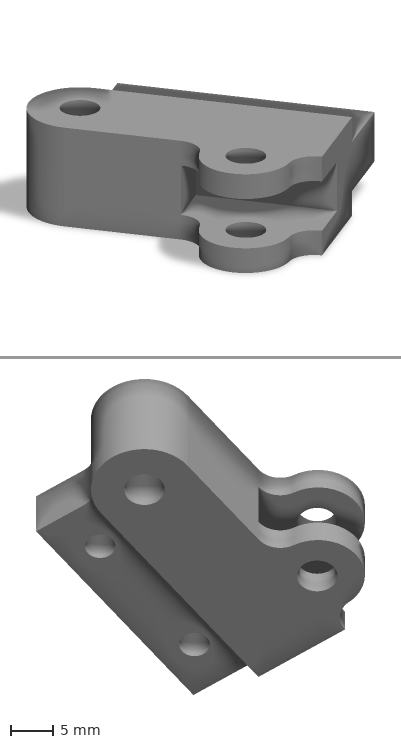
import cadquery as cq
import math

length = 38.1
height = 12.7
body_width = 12.7
end_radius = body_width / 2
right_x = length - end_radius
pin_hole_diameter = 4.85

flange_depth = 9.52
flange_thickness = height / 2
flange_hole_diameter = 3.65
flange_hole_inset = flange_depth / 2
flange_hole_first_x = 6.35
flange_hole_spacing = 19.05
flange_back_y = end_radius + flange_depth

ear_x = 23.0
ear_y = -8.72
ear_radius = 5.55
ear_hole_y = -8.6
ear_gap = height / 2
slot_back_y = 0

blend_radius = 3.15
ear_blend_y = -end_radius - blend_radius


def centered_plate(outline, thickness):
    """Extrude a closed outline symmetrically about mid-height."""
    return outline.extrude(thickness / 2, both=True)


def make_body():
    outline = (
        cq.Workplane("XY")
        .moveTo(0, end_radius)
        .threePointArc((-end_radius, 0), (0, -end_radius))
        .lineTo(right_x, -end_radius)
        .lineTo(right_x, end_radius)
        .close()
    )
    return centered_plate(outline, height)


def make_flange():
    blend_y = math.sqrt((end_radius + blend_radius) ** 2 - blend_radius**2)
    share = end_radius / (end_radius + blend_radius)
    contact = (-blend_radius * share, blend_y * share)
    angle = math.atan2(contact[1] - blend_y, contact[0] + blend_radius) / 2
    middle = (
        -blend_radius + blend_radius * math.cos(angle),
        blend_y + blend_radius * math.sin(angle),
    )
    outline = (
        cq.Workplane("XY")
        .lineTo(right_x, 0)
        .lineTo(right_x, flange_back_y)
        .lineTo(0, flange_back_y)
        .lineTo(0, blend_y)
        .threePointArc(middle, contact)
        .close()
    )
    return centered_plate(outline, flange_thickness)


def ear_blend_offset():
    """Distance in X from the ear axis to the center of either ear blend."""
    return math.sqrt((ear_radius + blend_radius) ** 2 - (ear_y - ear_blend_y) ** 2)


def make_ears():
    blend_dx = ear_blend_offset()
    share = ear_radius / (ear_radius + blend_radius)
    contact_dx = blend_dx * share
    contact_y = ear_y + (ear_blend_y - ear_y) * share
    angle = (math.atan2(contact_y - ear_blend_y, blend_dx - contact_dx) + math.pi / 2) / 2
    middle_dx = blend_dx - blend_radius * math.cos(angle)
    middle_y = ear_blend_y + blend_radius * math.sin(angle)
    outline = (
        cq.Workplane("XY")
        .moveTo(ear_x - blend_dx, 0)
        .lineTo(ear_x - blend_dx, -end_radius)
        .threePointArc((ear_x - middle_dx, middle_y), (ear_x - contact_dx, contact_y))
        .threePointArc((ear_x, ear_y - ear_radius), (ear_x + contact_dx, contact_y))
        .threePointArc((ear_x + middle_dx, middle_y), (ear_x + blend_dx, -end_radius))
        .lineTo(ear_x + blend_dx, 0)
        .close()
    )
    return centered_plate(outline, height)


def make_ear_slot():
    slot_left_x = ear_x - ear_blend_offset()
    slot_front_y = ear_y - 2 * ear_radius
    outline = (
        cq.Workplane("XY")
        .moveTo(slot_left_x, slot_front_y)
        .lineTo(length, slot_front_y)
        .lineTo(length, slot_back_y)
        .lineTo(slot_left_x, slot_back_y)
        .close()
    )
    return centered_plate(outline, ear_gap)


def make_holes(points, diameter):
    return centered_plate(cq.Workplane("XY").pushPoints(points).circle(diameter / 2), height)


flange_hole_y = flange_back_y - flange_hole_inset
flange_holes = [(flange_hole_first_x + i * flange_hole_spacing, flange_hole_y) for i in range(2)]

result = (
    make_body()
    .union(make_flange())
    .union(make_ears())
    .cut(make_ear_slot())
    .cut(make_holes(flange_holes, flange_hole_diameter))
    .cut(make_holes([(0, 0), (ear_x, ear_hole_y)], pin_hole_diameter))
)